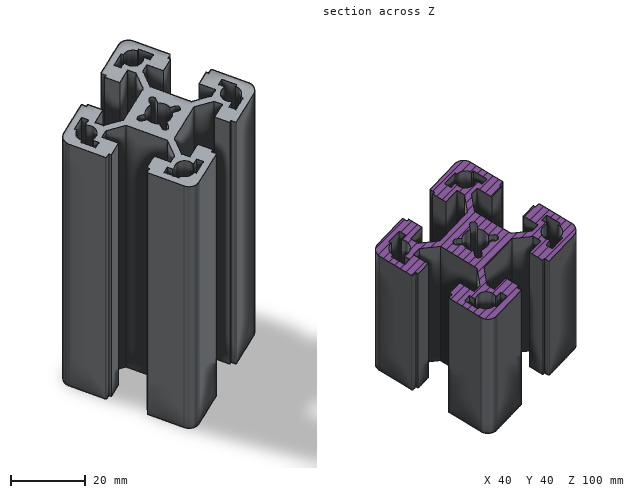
import cadquery as cq
import math

side = 40.0
length = 100.0
corner_radius = 3.0

slot_opening = 10.5
recess_width = 12.0
recess_depth = 1.5
recess_edge_radius = 0.3
slot_inner_width = 20.3
lip_thickness = 6.0
core_width = 15.0
web_thickness = 2.0

outer_wall = 2.0
pocket_depth = 2.0
pocket_reach = 10.1
corner_bore_center = 14.5
corner_bore_radius = 2.8

bore_diameter = 7.3
groove_width = 1.9
groove_end_offset = 3.6

half_side = side / 2


def slot_cutter():
    """T-slot open towards +Y, running the full length."""
    lip_bottom = half_side - lip_thickness
    half_core = core_width / 2
    half_inner = slot_inner_width / 2
    web_offset = web_thickness / math.sqrt(2)
    right_side = [
        (half_core - web_offset, half_core),
        (half_inner, half_inner + web_offset),
        (half_inner, lip_bottom),
        (slot_opening / 2, lip_bottom),
        (slot_opening / 2, half_side - recess_depth),
        (recess_width / 2, half_side - recess_depth),
        (recess_width / 2, half_side - recess_edge_radius),
    ]
    left_side = [(-x, y) for x, y in reversed(right_side)]
    edge_end = recess_width / 2 + recess_edge_radius
    arc_inset = recess_edge_radius * (1 - math.sqrt(0.5))
    arc_middle = (recess_width / 2 + arc_inset, half_side - arc_inset)
    return (
        cq.Workplane("XY")
        .polyline(right_side)
        .threePointArc(arc_middle, (edge_end, half_side))
        .lineTo(-edge_end, half_side)
        .threePointArc((-arc_middle[0], arc_middle[1]), left_side[0])
        .polyline(left_side[1:], includeCurrent=True)
        .close()
        .extrude(length)
    )


def corner_hollow():
    """Hollow of the +X +Y corner, running the full length."""
    wall_face = half_side - outer_wall
    pocket_floor = wall_face - pocket_depth
    pocket_mouth = corner_bore_center - corner_bore_radius
    pocket_points = [
        (pocket_reach, wall_face),
        (pocket_reach, pocket_floor),
        (pocket_mouth, pocket_floor),
        (corner_bore_center, corner_bore_center),
        (corner_bore_center, wall_face),
    ]
    mirrored_points = [(y, x) for x, y in pocket_points]
    hollow = (
        cq.Workplane("XY")
        .center(corner_bore_center, corner_bore_center)
        .circle(corner_bore_radius)
        .extrude(length)
    )
    for points in (pocket_points, mirrored_points):
        hollow = hollow.union(cq.Workplane("XY").polyline(points).close().extrude(length))
    return hollow


def central_bore():
    """Round bore with two crossing grooves along the diagonals."""
    groove_length = 2 * math.sqrt(2) * groove_end_offset + groove_width
    bore = cq.Workplane("XY").circle(bore_diameter / 2).extrude(length)
    for angle in (45, 135):
        bore = bore.union(cq.Workplane("XY").slot2D(groove_length, groove_width, angle).extrude(length))
    return bore


def rotated(shape, angle):
    """Copy of a shape turned about the profile axis."""
    return shape.rotate((0, 0, 0), (0, 0, 1), angle)


result = cq.Workplane("XY").rect(side, side).extrude(length).edges("|Z").fillet(corner_radius)
result = result.cut(central_bore())
for angle in (0, 90, 180, 270):
    result = result.cut(rotated(slot_cutter(), angle))
    result = result.cut(rotated(corner_hollow(), angle))